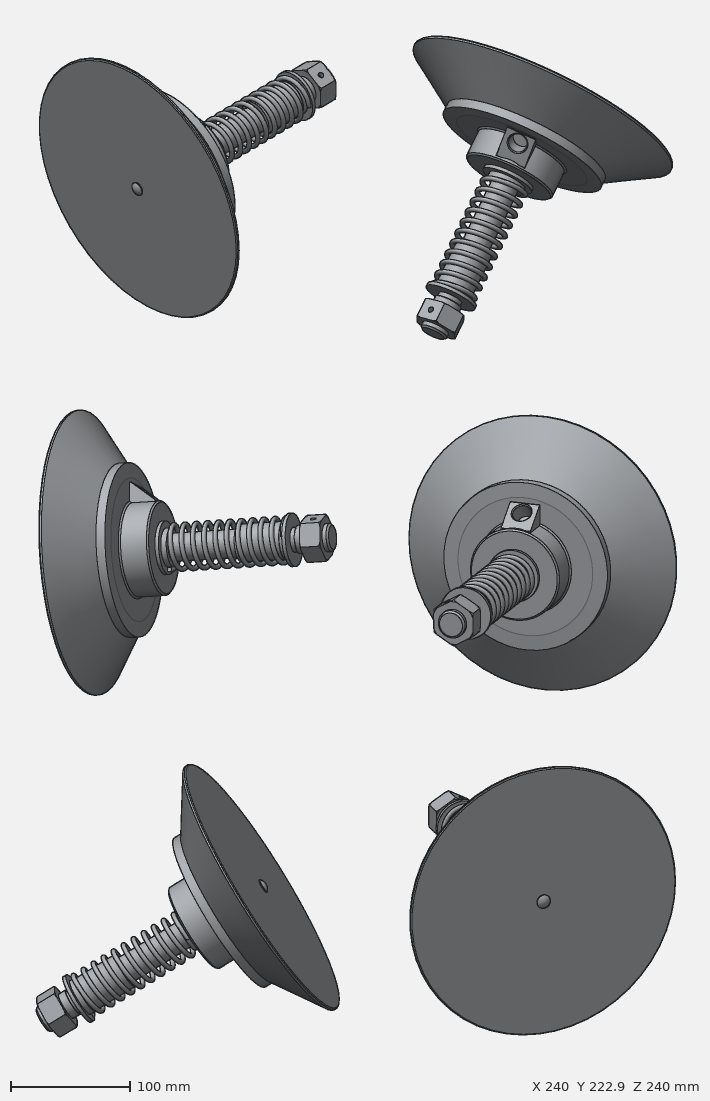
import cadquery as cq
import math


lip_diameter = 240.0
lip_thickness = 2.6
lip_chamfer = 1.0
flange_diameter = 147.0
flange_bottom = 34.8
flange_top = 43.5
flange_crown_diameter = 121.0
flange_rim_drop = 0.7
hub_diameter = 80.0
hub_top = 69.4
hub_chamfer = 1.5

button_diameter = 12.0
button_height = 3.4
button_wall = 1.0

washer_diameter = 45.0
washer_thickness = 3.0
collar_diameter = 33.0
collar_height = 4.8
rod_diameter = 24.0
sleeve_diameter = 32.0
sleeve_bottom = 137.5
upper_washer_bottom = 182.2
neck_diameter = 21.0
neck_top = 189.5
stem_top = 219.5
stem_chamfer = 1.7

nut_flats = 35.0
nut_bottom = 196.3
nut_height = 18.0
nut_chamfer_diameter = 37.5
nut_chamfer_angle = 30.0
nut_hole_diameter = 4.8

wire_diameter = 4.0
coil_diameter = 37.5
spring_turns = 10.75
spring_seat_overlap = 0.2

port_width = 26.5
port_slope_top = 66.2
port_slope_top_height = 39.0
port_slope_bottom = 44.5
port_slope_bottom_height = 55.7
port_hole_position = 52.0
port_hole_diameter = 16.0
port_hole_depth = 16.0
port_hole_chamfer = 1.0

lower_washer_top = hub_top + washer_thickness
upper_washer_top = upper_washer_bottom + washer_thickness
nut_corners = nut_flats / math.cos(math.radians(30))


def disc(diameter, bottom, top):
    """Cylinder on the Y axis between two heights."""
    return cq.Workplane("XZ", origin=(0, bottom, 0)).circle(diameter / 2).extrude(bottom - top)


def revolve_about_y(outline):
    """Turn a closed XY outline around the Y axis."""
    return outline.close().revolve(360, (0, 0, 0), (0, 1, 0))


def make_cup():
    lip_radius = lip_diameter / 2
    flange_radius = flange_diameter / 2
    hub_radius = hub_diameter / 2
    return revolve_about_y(
        cq.Workplane("XY")
        .moveTo(0, 0)
        .lineTo(lip_radius - lip_chamfer, 0)
        .lineTo(lip_radius, lip_chamfer)
        .lineTo(lip_radius, lip_thickness)
        .lineTo(flange_radius, flange_bottom)
        .lineTo(flange_radius, flange_top - flange_rim_drop)
        .lineTo(flange_crown_diameter / 2, flange_top)
        .lineTo(hub_radius + hub_chamfer, flange_top)
        .lineTo(hub_radius, flange_top + hub_chamfer)
        .lineTo(hub_radius, hub_top - hub_chamfer)
        .lineTo(hub_radius - hub_chamfer, hub_top)
        .lineTo(0, hub_top)
    )


def make_button():
    radius = button_diameter / 2
    dome_height = button_height - button_wall
    dome_radius = (radius**2 + dome_height**2) / (2 * dome_height)
    middle_angle = math.asin(radius / dome_radius) / 2
    middle_x = dome_radius * math.sin(middle_angle)
    middle_y = -button_height + dome_radius * (1 - math.cos(middle_angle))
    return revolve_about_y(
        cq.Workplane("XY")
        .moveTo(0, lip_thickness)
        .lineTo(radius, lip_thickness)
        .lineTo(radius, -button_wall)
        .threePointArc((middle_x, middle_y), (0, -button_height))
    )


def make_port():
    return (
        cq.Workplane("YZ")
        .moveTo(flange_bottom, 0)
        .lineTo(port_slope_top, 0)
        .lineTo(port_slope_top, port_slope_top_height)
        .lineTo(port_slope_bottom, port_slope_bottom_height)
        .lineTo(flange_bottom, port_slope_bottom_height)
        .close()
        .extrude(port_width / 2, both=True)
        .intersect(disc(flange_diameter, flange_top - flange_rim_drop, hub_top))
    )


def make_port_hole():
    """Blind hole square to the sloped face, with a chamfered mouth."""
    run = port_slope_top - port_slope_bottom
    rise = port_slope_bottom_height - port_slope_top_height
    centre_height = port_slope_top_height + (port_slope_top - port_hole_position) * rise / run
    mouth = cq.Workplane(
        cq.Plane(origin=(0, port_hole_position, centre_height), xDir=(1, 0, 0), normal=(0, rise, run))
    )
    radius = port_hole_diameter / 2
    bore = mouth.circle(radius).extrude(-port_hole_depth)
    countersink = mouth.circle(radius + port_hole_chamfer).extrude(-port_hole_chamfer, taper=45)
    return bore.union(countersink)


def make_stem():
    stem = disc(rod_diameter, hub_top, upper_washer_bottom)
    stem = stem.union(disc(sleeve_diameter, sleeve_bottom, upper_washer_bottom))
    stem = stem.union(disc(washer_diameter, hub_top, lower_washer_top))
    stem = stem.union(disc(collar_diameter, lower_washer_top, lower_washer_top + collar_height))
    stem = stem.union(disc(collar_diameter, upper_washer_bottom - collar_height, upper_washer_bottom))
    stem = stem.union(disc(washer_diameter, upper_washer_bottom, upper_washer_top))
    stem = stem.union(disc(neck_diameter, upper_washer_top, neck_top))
    threaded_end = disc(rod_diameter, neck_top, stem_top).faces(">Y").chamfer(stem_chamfer)
    return stem.union(threaded_end)


def make_nut():
    """Hexagon with corners on Z, its corners turned off at both ends."""
    hexagon = (
        cq.Workplane("XZ", origin=(0, nut_bottom, 0))
        .polygon(6, nut_corners)
        .extrude(-nut_height)
        .rotate((0, 0, 0), (0, 1, 0), 30)
    )
    corner_cut = (nut_corners - nut_chamfer_diameter) / 2
    end_cut = corner_cut * math.tan(math.radians(nut_chamfer_angle))
    turned = disc(nut_corners, nut_bottom, nut_bottom + nut_height)
    turned = turned.faces("<Y or >Y").chamfer(end_cut, corner_cut)
    return hexagon.intersect(turned)


def make_nut_hole():
    """Radial hole through one nut flat, down to the stem."""
    angle = math.radians(30)
    direction = (math.sin(angle), 0, math.cos(angle))
    start = rod_diameter / 2
    plane = cq.Plane(
        origin=(start * direction[0], nut_bottom + nut_height / 2, start * direction[2]),
        xDir=(0, 1, 0),
        normal=direction,
    )
    return cq.Workplane(plane).circle(nut_hole_diameter / 2).extrude(nut_flats / 2)


def make_spring():
    """Right-hand coil starting on the -Z side and ending in the upper washer."""
    start = lower_washer_top + wire_diameter / 2 - spring_seat_overlap
    length = upper_washer_bottom - spring_seat_overlap - start
    pitch = length / spring_turns
    radius = coil_diameter / 2
    helix = cq.Wire.makeHelix(pitch, length, radius)
    wire = cq.Workplane("XZ").center(radius, 0).circle(wire_diameter / 2)
    coil = wire.sweep(cq.Workplane(helix), isFrenet=True)
    coil = coil.rotate((0, 0, 0), (1, 0, 0), -90)
    return coil.rotate((0, 0, 0), (0, 1, 0), 90).translate((0, start, 0))


body = make_cup().union(make_button()).union(make_port()).cut(make_port_hole())
body = body.union(make_stem()).union(make_nut().cut(make_nut_hole()))
result = body.union(make_spring())